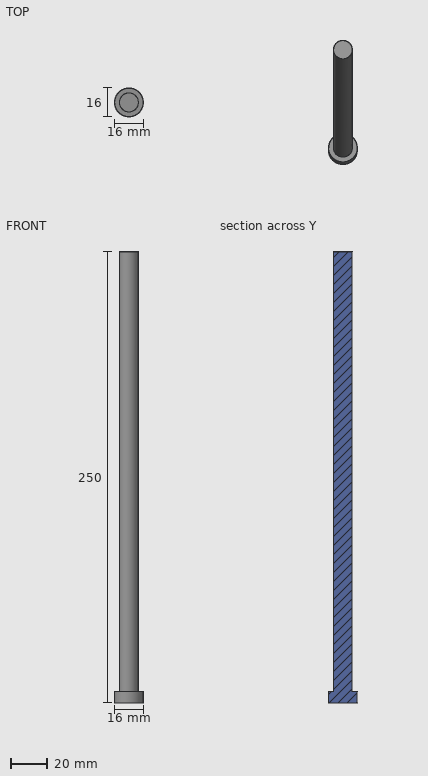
import cadquery as cq

total_length = 250.0
head_diameter = 16.0
head_height = 6.5
shank_diameter = 10.5

head = cq.Workplane("XY").circle(head_diameter / 2).extrude(head_height)
shank = cq.Workplane("XY").circle(shank_diameter / 2).extrude(total_length)

result = head.union(shank)